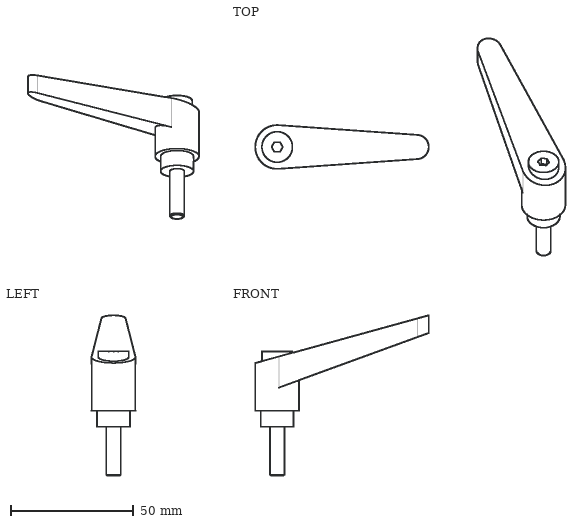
import cadquery as cq
import math

HUB_RADIUS = 9.0
TIP_RADIUS = 5.0
ARM_LENGTH = 57.0
TIP_TOP_Z = 39.16
TIP_THICKNESS = 7.3
TOP_SLOPE = 15.4
BOTTOM_SLOPE = 20.0

COLLAR_DIAMETER = 13.5
COLLAR_HEIGHT = 6.5
STUD_DIAMETER = 6.0
STUD_LENGTH = 20.0
STUD_CHAMFER = 0.5

CAP_DIAMETER = 12.5
CAP_TOP_Z = 24.4
SOCKET_ACROSS_FLATS = 4.0
SOCKET_DEPTH = 3.0
SOCKET_CONE_ANGLE = 120.0

ARM_END_X = ARM_LENGTH + TIP_RADIUS
TIP_BOTTOM_Z = TIP_TOP_Z - TIP_THICKNESS
SIDE_TAPER_SIN = (HUB_RADIUS - TIP_RADIUS) / ARM_LENGTH
SIDE_TAPER_COS = math.sqrt(1 - SIDE_TAPER_SIN**2)


def top_z(x):
    """Height of the sloping top face at a given X."""
    return TIP_TOP_Z - (ARM_END_X - x) * math.tan(math.radians(TOP_SLOPE))


def bottom_z(x):
    """Height of the sloping arm underside at a given X."""
    return TIP_BOTTOM_Z - (ARM_END_X - x) * math.tan(math.radians(BOTTOM_SLOPE))


def cylinder(diameter, bottom, top):
    """Upright cylinder on the clamping axis."""
    return cq.Workplane("XY").workplane(offset=bottom).circle(diameter / 2).extrude(top - bottom)


def side_slab(points):
    """Slab with an XZ outline, spanning the full width of the hub."""
    return cq.Workplane("XZ").polyline(points).close().extrude(HUB_RADIUS, both=True)


def make_hub():
    """Hub cylinder cut off by the sloping top face."""
    below_top = side_slab([
        (-HUB_RADIUS, 0),
        (HUB_RADIUS, 0),
        (HUB_RADIUS, top_z(HUB_RADIUS)),
        (-HUB_RADIUS, top_z(-HUB_RADIUS)),
    ])
    return cylinder(2 * HUB_RADIUS, 0, TIP_TOP_Z).intersect(below_top)


def make_arm():
    """Tapered arm with a round tip, lying between the two sloping faces."""
    root_x = HUB_RADIUS * SIDE_TAPER_SIN
    root_y = HUB_RADIUS * SIDE_TAPER_COS
    tip_x = ARM_LENGTH + TIP_RADIUS * SIDE_TAPER_SIN
    tip_y = TIP_RADIUS * SIDE_TAPER_COS
    plan = (
        cq.Workplane("XY")
        .moveTo(root_x, -root_y)
        .lineTo(tip_x, -tip_y)
        .threePointArc((ARM_END_X, 0), (tip_x, tip_y))
        .lineTo(root_x, root_y)
        .close()
        .extrude(TIP_TOP_Z)
    )
    between_slopes = side_slab([
        (root_x, bottom_z(root_x)),
        (ARM_END_X, TIP_BOTTOM_Z),
        (ARM_END_X, TIP_TOP_Z),
        (root_x, top_z(root_x)),
    ])
    return plan.intersect(between_slopes)


def make_stud():
    """Stud below the collar, chamfered at its free end."""
    stud = cylinder(STUD_DIAMETER, -COLLAR_HEIGHT - STUD_LENGTH, 0)
    return stud.faces("<Z").chamfer(STUD_CHAMFER)


def make_socket():
    """Hexagonal key socket ending in a conical drilled point."""
    corner_radius = SOCKET_ACROSS_FLATS / math.sqrt(3)
    floor_z = CAP_TOP_Z - SOCKET_DEPTH
    cone_depth = corner_radius / math.tan(math.radians(SOCKET_CONE_ANGLE / 2))
    hexagon = (
        cq.Workplane("XY")
        .workplane(offset=floor_z - cone_depth)
        .polygon(6, 2 * corner_radius)
        .extrude(SOCKET_DEPTH + cone_depth)
    )
    drill = (
        cq.Workplane("XZ")
        .moveTo(0, floor_z - cone_depth)
        .lineTo(corner_radius, floor_z)
        .lineTo(corner_radius, CAP_TOP_Z)
        .lineTo(0, CAP_TOP_Z)
        .close()
        .revolve(360, (0, 0, 0), (0, 1, 0))
    )
    return hexagon.intersect(drill)


collar = cylinder(COLLAR_DIAMETER, -COLLAR_HEIGHT, 0)
cap = cylinder(CAP_DIAMETER, 0, CAP_TOP_Z)

result = make_hub().union(make_arm()).union(collar).union(make_stud()).union(cap).cut(make_socket())